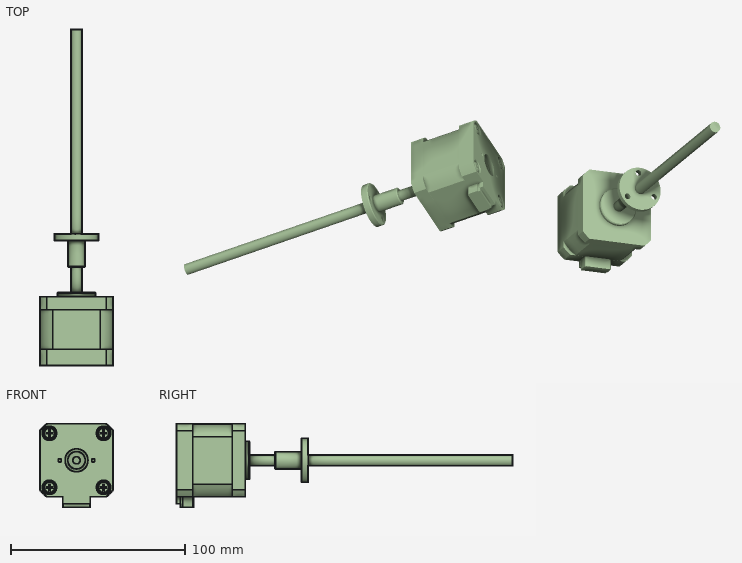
import cadquery as cq
import math


motor_width = 42.0
stator_width = 41.9
screw_end_y = 192.8

rear_cap_length = 9.3
stator_length = 22.8
front_cap_length = 7.5
stator_start_y = rear_cap_length
front_cap_start_y = stator_start_y + stator_length
front_face_y = front_cap_start_y + front_cap_length

cap_corner_diameter = 54.0
stator_corner_diameter = 50.0

pilot_diameter = 22.0
pilot_length = 2.4
pilot_chamfer = 0.5
pilot_end_y = front_face_y + pilot_length

recess_diameter = 13.2
recess_step_depth = 2.4
recess_floor_diameter = 10.0
recess_depth = 2.6

pin_hole_diameter = 2.0
pin_hole_depth = 1.0
pin_hole_offset = 9.6

bolt_spacing = 31.0
bolt_sink_diameter = 8.2
bolt_floor_diameter = 6.6
bolt_sink_depth = 1.2
bolt_head_diameter = 6.0
bolt_head_height = 1.0
bolt_head_rounding = 0.9
cross_length = 3.8
cross_width = 0.8
cross_depth = 0.7

tab_width = 16.0
tab_thickness = 2.3
tab_bottom_z = -25.0
connector_width = tab_width
connector_bottom_z = -27.0
connector_neck_width = 15.0
connector_neck_length = 1.4
connector_end_y = 10.0
connector_chamfer = 0.6
cap_bottom_z = -motor_width / 2

screw_diameter = 6.35
journal_diameter = 4.2

nut_length = 19.0
nut_flange_thickness = 4.0
nut_diameter = 10.0
nut_flange_diameter = 25.4
nut_end_y = 75.5
nut_chamfer = 0.5
flange_chamfer = 0.5
flange_hole_count = 3
flange_hole_diameter = 3.4
flange_hole_radius = 9.5
flange_first_hole_angle = 84.0
nut_start_y = nut_end_y - nut_length
flange_start_y = nut_end_y - nut_flange_thickness


def cylinder(diameter, start_y, end_y, x=0.0, z=0.0):
    """Cylinder parallel to Y between two Y positions."""
    base = cq.Workplane("XZ", origin=(x, start_y, z))
    return base.circle(diameter / 2).extrude(start_y - end_y)


def cone(mouth_diameter, floor_diameter, depth, x=0.0, z=0.0):
    """Cone that narrows from the rear face inwards."""
    mouth = cq.Vector(x, 0, z)
    inwards = cq.Vector(0, 1, 0)
    solid = cq.Solid.makeCone(mouth_diameter / 2, floor_diameter / 2, depth, mouth, inwards)
    return cq.Workplane(solid)


def box(width, start_y, end_y, bottom_z, top_z):
    """Block centred on X."""
    size = (width, end_y - start_y, top_z - bottom_z)
    corner = (-width / 2, start_y, bottom_z)
    return cq.Workplane("XY", origin=corner).box(*size, centered=False)


def motor_section(width, corner_diameter, start_y, end_y):
    """Square section whose corners are cut by a cylinder."""
    half = width / 2
    square = box(width, start_y, end_y, -half, half)
    return square.intersect(cylinder(corner_diameter, start_y, end_y))


def bolt_pocket(x, z):
    """Countersink that leaves a rounded, cross-recessed screw head standing on its floor."""
    sink = cone(bolt_sink_diameter, bolt_floor_diameter, bolt_sink_depth, x, z)
    head_top_y = bolt_sink_depth - bolt_head_height
    head = cylinder(bolt_head_diameter, head_top_y, bolt_sink_depth, x, z)
    head = head.faces("<Y").edges().fillet(bolt_head_rounding)
    for width, height in ((cross_length, cross_width), (cross_width, cross_length)):
        slot = box(width, head_top_y, head_top_y + cross_depth, -height / 2, height / 2)
        head = head.cut(slot.translate((x, 0, z)))
    return sink.cut(head)


def make_motor():
    motor = motor_section(motor_width, cap_corner_diameter, 0, rear_cap_length)
    motor = motor.union(motor_section(stator_width, stator_corner_diameter, stator_start_y, front_cap_start_y))
    motor = motor.union(motor_section(motor_width, cap_corner_diameter, front_cap_start_y, front_face_y))

    pilot = cylinder(pilot_diameter, front_face_y, pilot_end_y)
    motor = motor.union(pilot.faces(">Y").chamfer(pilot_chamfer))
    motor = motor.union(box(tab_width, 0, tab_thickness, tab_bottom_z, cap_bottom_z))

    motor = motor.cut(cylinder(recess_diameter, 0, recess_step_depth))
    motor = motor.cut(cylinder(recess_floor_diameter, 0, recess_depth))
    motor = motor.cut(cylinder(journal_diameter, recess_depth, pilot_end_y))

    for side in (-1, 1):
        motor = motor.cut(cone(pin_hole_diameter, 0, pin_hole_depth, side * pin_hole_offset))
        for level in (-1, 1):
            motor = motor.cut(bolt_pocket(side * bolt_spacing / 2, level * bolt_spacing / 2))
    return motor


def make_connector():
    neck_end_y = tab_thickness + connector_neck_length
    neck = box(connector_neck_width, tab_thickness, neck_end_y, connector_bottom_z, cap_bottom_z)
    shell = box(connector_width, neck_end_y, connector_end_y, connector_bottom_z, cap_bottom_z)
    shell = shell.faces(">Y").edges("|Z").chamfer(connector_chamfer)
    return neck.union(shell)


def make_screw():
    journal = cylinder(journal_diameter, recess_depth, pilot_end_y)
    return journal.union(cylinder(screw_diameter, pilot_end_y, screw_end_y))


def make_nut():
    barrel = cylinder(nut_diameter, nut_start_y, nut_end_y).faces("<Y").chamfer(nut_chamfer)
    flange = cylinder(nut_flange_diameter, flange_start_y, nut_end_y).faces("<Y").chamfer(flange_chamfer)
    nut = barrel.union(flange).cut(cylinder(screw_diameter, nut_start_y, nut_end_y))
    for index in range(flange_hole_count):
        angle = math.radians(flange_first_hole_angle + index * 360 / flange_hole_count)
        x = flange_hole_radius * math.cos(angle)
        z = flange_hole_radius * math.sin(angle)
        nut = nut.cut(cylinder(flange_hole_diameter, flange_start_y, nut_end_y, x, z))
    return nut


motor = make_motor()
connector = make_connector()
screw = make_screw()
nut = make_nut()

result = cq.Compound.makeCompound([motor.val(), connector.val(), screw.val(), nut.val()])